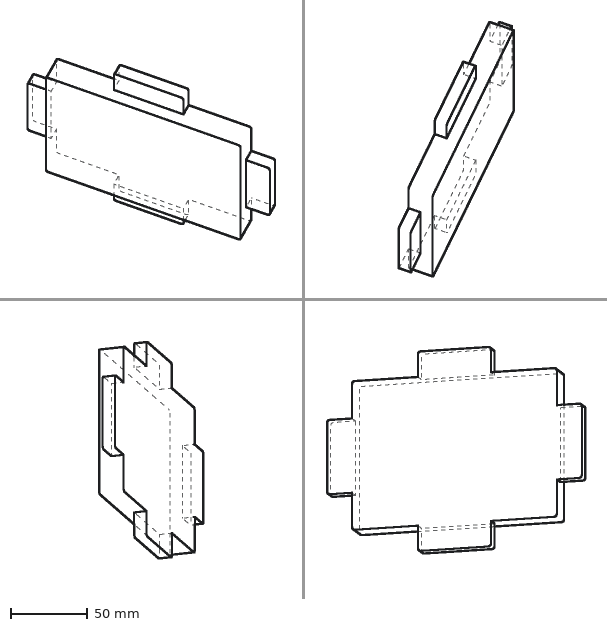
import cadquery as cq

overall_length = 174.0
overall_height = 134.0
plate_thickness = 17.0

tab_projection = 17.0
tab_width = 50.0
tab_thickness = 8.5
corner_radius = 2.0

plate_length = overall_length - 2 * tab_projection
plate_height = overall_height - 2 * tab_projection


def rounded_slab(length, height, thickness):
    """Slab centred in XZ, back face on Y = 0, extending toward -Y."""
    return (
        cq.Workplane("XZ")
        .rect(length, height)
        .extrude(thickness)
        .edges("|Y")
        .fillet(corner_radius)
    )


plate = rounded_slab(plate_length, plate_height, plate_thickness)

side_tabs = rounded_slab(overall_length, tab_width, tab_thickness)
end_tabs = rounded_slab(tab_width, overall_height, tab_thickness)

result = plate.union(side_tabs).union(end_tabs)